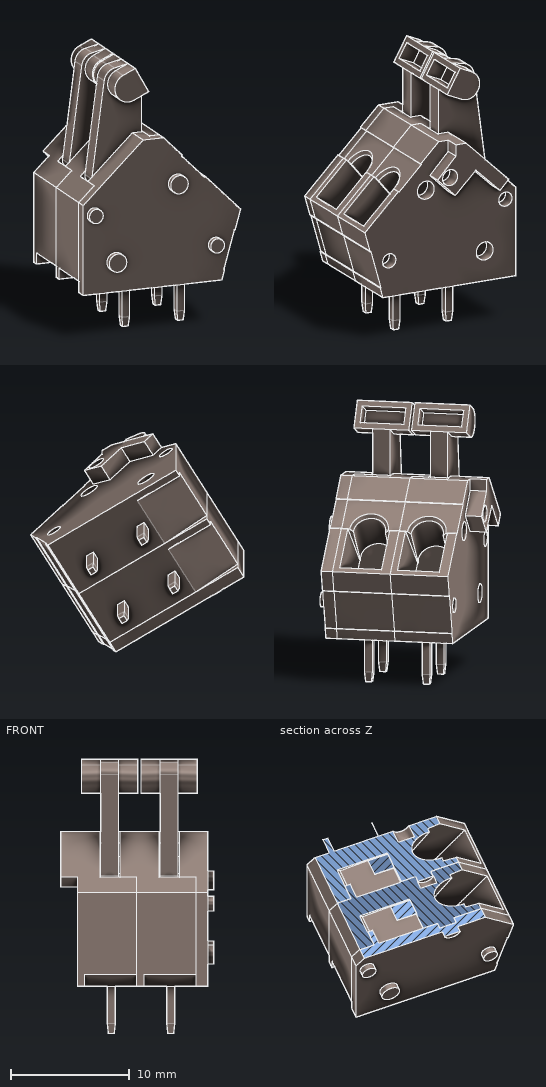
import cadquery as cq
import math


MODULE_COUNT = 2
MODULES_LENGTH = 10.0
PITCH = MODULES_LENGTH / MODULE_COUNT
END_PLATE_THICKNESS = 1.0
KEY_LENGTH = 1.4

FRONT_HEIGHT = 7.87
TOP_HEIGHT = 13.02
TOP_FRONT_Y = 5.45
BACK_Y = 14.3
BACK_CORNER_HEIGHT = 6.02
BASE_DEPTH = 12.6
BACK_SLOPE_ANGLE = 45.0
TOP_BACK_Y = BACK_Y - (TOP_HEIGHT - BACK_CORNER_HEIGHT) / math.tan(math.radians(BACK_SLOPE_ANGLE))

SLOPE_GROOVE_START = 4.48
SLOPE_GROOVE_END = 7.48
SLOPE_GROOVE_DEPTH = 0.1
BACK_GROOVE_START = 1.85
BACK_GROOVE_END = 5.33
BACK_GROOVE_DEPTH = 0.07

SLOT_START_X = 1.9
SLOT_BACK_Y = 6.42
SLOT_BACK_HEIGHT = 12.02
SLOT_HEEL = (8.15, 10.15)
SLOT_BOTTOM = (6.49, 8.55)
KEY_RIDGE = (4.52, 10.48)
SLOT_TOE = (2.25, 8.33)
SLOT_MOUTH_Y = 1.4
SLOT_MOUTH = (SLOT_MOUTH_Y, FRONT_HEIGHT + SLOT_MOUTH_Y * (TOP_HEIGHT - FRONT_HEIGHT) / TOP_FRONT_Y)

ENTRY_CENTER_X = 2.63
ENTRY_MOUTH_WIDTH = 3.62
ENTRY_MOUTH_START = 0.45
ENTRY_DEPTH = 4.05
ENTRY_TAPER = 6.0
WIRE_HOLE_RADIUS = 1.38
WIRE_HOLE_CHAMFER = 0.28

RELIEF_START_X = 0.6
RELIEF_HEIGHT = 1.0
RELIEF_DEPTH = 4.15

COUPLINGS = [
    (1.0, 6.95, 1.25),
    (2.95, 2.65, 1.6),
    (8.55, 8.9, 1.6),
    (12.0, 3.19, 1.25),
]
STUD_LENGTH = 0.5
MODULE_HOLE_DEPTH = 1.2

PIVOT_Y = 6.97
PIVOT_Z = 10.2
PIVOT_DIAMETER = 1.4
LEVER_CENTER_X = 2.72
LEVER_WIDTH = 1.5
LEVER_BACK_Y = 6.32
LEVER_TIP = (5.1, 19.09)
LEVER_SHOULDER = (3.05, 18.65)
LEVER_SHOULDER_RADIUS = 1.2
LEVER_TOE = (1.7, 8.6)
LEVER_TOE_RADIUS = 0.65
HEAD_WIDTH = 4.75
HEAD_BACK_HEIGHT = 16.92
HEAD_TILT = 24.0
HEAD_TOP_LENGTH = 1.22
HEAD_SLOT_WIDTH = 3.79
HEAD_SLOT_START = 0.5
HEAD_SLOT_END = 1.98
HEAD_SLOT_DEPTH = 1.5

PIN_WIDTH = 0.7
PIN_TIP_WIDTH = 0.5
PIN_LENGTH = 4.0
PIN_TIP_LENGTH = 0.85
PIN_CENTER_X = 2.86
PIN_FRONT_Y = 5.0
PIN_ROW_SPACING = PITCH
PIN_ROW_COUNT = 2


def prism(points, x_start, x_end):
    """Extrude a (Y, Z) polygon along X."""
    return cq.Workplane("YZ", origin=(x_start, 0, 0)).polyline(points).close().extrude(x_end - x_start)


def rod(y, z, diameter, x_start, x_end):
    """Cylinder along X."""
    return cq.Workplane("YZ", origin=(x_start, y, z)).circle(diameter / 2).extrude(x_end - x_start)


def slope_plane(offset):
    """Plane parallel to the back slope; local x is X, local y runs down the slope to the back corner."""
    slope = math.radians(BACK_SLOPE_ANGLE)
    plane = cq.Plane(
        origin=(0, BACK_Y, BACK_CORNER_HEIGHT),
        xDir=(1, 0, 0),
        normal=(0, math.sin(slope), math.cos(slope)),
    )
    return cq.Workplane(plane).workplane(offset=offset)


def groove_points(corner, far_end, start, end, depth):
    """Four (Y, Z) points of a square groove on the line from corner to far_end.

    A positive depth lies to the left of that line, a negative one to its right.
    """
    origin = cq.Vector(*corner)
    along = (cq.Vector(*far_end) - origin).normalized()
    inward = cq.Vector(-along.y, along.x) * depth
    near = origin + along * start
    far = origin + along * end
    return [(p.x, p.y) for p in (near, near + inward, far + inward, far)]


KEY_OUTLINE = [
    (SLOT_BACK_Y, TOP_HEIGHT),
    (SLOT_BACK_Y, SLOT_BACK_HEIGHT),
    SLOT_HEEL,
    SLOT_BOTTOM,
    KEY_RIDGE,
    SLOT_TOE,
    SLOT_MOUTH,
    (TOP_FRONT_Y, TOP_HEIGHT),
]
SLOT_OUTLINE = [point for point in KEY_OUTLINE if point != KEY_RIDGE]


def block(width, hole_depth):
    """Body shared by modules and end plate: grooved outline, key, studs and matching holes."""
    top_back = (TOP_BACK_Y, TOP_HEIGHT)
    back_corner = (BACK_Y, BACK_CORNER_HEIGHT)
    base_back = (BASE_DEPTH, 0)
    slope_groove = groove_points(
        back_corner, top_back, SLOPE_GROOVE_START, SLOPE_GROOVE_END, SLOPE_GROOVE_DEPTH
    )
    back_groove = groove_points(
        back_corner, base_back, BACK_GROOVE_START, BACK_GROOVE_END, -BACK_GROOVE_DEPTH
    )
    outline = [
        base_back,
        *reversed(back_groove),
        back_corner,
        *slope_groove,
        top_back,
        (TOP_FRONT_Y, TOP_HEIGHT),
        (0, FRONT_HEIGHT),
        (0, 0),
    ]
    body = prism(outline, 0, width).union(prism(KEY_OUTLINE, -KEY_LENGTH, 0))
    body = body.cut(rod(PIVOT_Y, PIVOT_Z, PIVOT_DIAMETER, -KEY_LENGTH, 0))
    for y, z, diameter in COUPLINGS:
        body = body.cut(rod(y, z, diameter, 0, hole_depth))
        body = body.union(rod(y, z, diameter, width, width + STUD_LENGTH))
    return body


def wire_entry():
    mouth_end = SLOPE_GROOVE_START + SLOPE_GROOVE_DEPTH * math.tan(math.radians(ENTRY_TAPER))
    mouth_length = mouth_end - ENTRY_MOUTH_START
    mouth = (
        slope_plane(0)
        .center(ENTRY_CENTER_X, -ENTRY_MOUTH_START - mouth_length / 2)
        .rect(ENTRY_MOUTH_WIDTH, mouth_length)
        .extrude(-ENTRY_DEPTH, taper=ENTRY_TAPER)
    )
    groove_floor = slope_plane(-SLOPE_GROOVE_DEPTH).center(ENTRY_CENTER_X, -SLOPE_GROOVE_START)
    hole = groove_floor.circle(WIRE_HOLE_RADIUS).extrude(SLOPE_GROOVE_DEPTH - ENTRY_DEPTH)
    chamfer = (
        groove_floor.circle(WIRE_HOLE_RADIUS + WIRE_HOLE_CHAMFER)
        .workplane(offset=-WIRE_HOLE_CHAMFER)
        .circle(WIRE_HOLE_RADIUS)
        .loft()
    )
    return mouth.union(hole).union(chamfer)


def housing_module():
    relief = prism([(0, 0), (0, RELIEF_HEIGHT), (RELIEF_DEPTH, 0)], RELIEF_START_X, PITCH)
    slot = prism(SLOT_OUTLINE, SLOT_START_X, PITCH)
    return block(PITCH, MODULE_HOLE_DEPTH).cut(relief).cut(slot).cut(wire_entry())


def end_plate():
    return block(END_PLATE_THICKNESS, STUD_LENGTH)


def lever_arm():
    outline = [
        LEVER_TIP,
        (LEVER_BACK_Y, HEAD_BACK_HEIGHT),
        (LEVER_BACK_Y, SLOT_BACK_HEIGHT),
        SLOT_HEEL,
        SLOT_BOTTOM,
        LEVER_TOE,
        LEVER_SHOULDER,
    ]
    x_start = LEVER_CENTER_X - LEVER_WIDTH / 2
    arm = prism(outline, x_start, x_start + LEVER_WIDTH)
    for corner, radius in ((LEVER_SHOULDER, LEVER_SHOULDER_RADIUS), (LEVER_TOE, LEVER_TOE_RADIUS)):
        corner_edge = cq.selectors.NearestToPointSelector((LEVER_CENTER_X, *corner))
        arm = arm.edges(corner_edge).fillet(radius)
    return arm


def lever_head():
    """Round-nosed grip across the arm, and the tool slot to cut into its back face."""
    tilt = math.radians(HEAD_TILT)
    along = cq.Vector(-math.cos(tilt), -math.sin(tilt))
    across = cq.Vector(math.sin(tilt), -math.cos(tilt))
    tip = cq.Vector(*LEVER_TIP)
    back_face = cq.Vector(LEVER_BACK_Y, HEAD_BACK_HEIGHT) - tip
    radius = back_face.dot(across) / 2
    top_end = tip + along * HEAD_TOP_LENGTH
    center = top_end + across * radius
    nose = center + along * radius
    bottom_end = center + across * radius
    head = (
        cq.Workplane("YZ", origin=(LEVER_CENTER_X, 0, 0))
        .moveTo(tip.x, tip.y)
        .lineTo(top_end.x, top_end.y)
        .threePointArc((nose.x, nose.y), (bottom_end.x, bottom_end.y))
        .lineTo(LEVER_BACK_Y, HEAD_BACK_HEIGHT)
        .close()
        .extrude(HEAD_WIDTH / 2, both=True)
    )
    down_face = back_face.normalized()
    upper = tip + down_face * HEAD_SLOT_START
    lower = tip + down_face * HEAD_SLOT_END
    depth = along * HEAD_SLOT_DEPTH
    corners = [upper, upper + depth, lower + depth, lower]
    x_start = LEVER_CENTER_X - HEAD_SLOT_WIDTH / 2
    tool_slot = prism([(p.x, p.y) for p in corners], x_start, x_start + HEAD_SLOT_WIDTH)
    return head, tool_slot


def lever():
    head, tool_slot = lever_head()
    pivot = rod(PIVOT_Y, PIVOT_Z, PIVOT_DIAMETER, SLOT_START_X, PITCH)
    return lever_arm().union(head).union(pivot).cut(tool_slot)


def solder_pin():
    shank_length = PIN_LENGTH - PIN_TIP_LENGTH
    shank = cq.Workplane("XY").rect(PIN_WIDTH, PIN_WIDTH).extrude(-shank_length)
    tip = (
        cq.Workplane("XY", origin=(0, 0, -shank_length))
        .rect(PIN_WIDTH, PIN_WIDTH)
        .workplane(offset=-PIN_TIP_LENGTH)
        .rect(PIN_TIP_WIDTH, PIN_TIP_WIDTH)
        .loft()
    )
    return shank.union(tip)


bodies = [end_plate().translate((MODULE_COUNT * PITCH, 0, 0)).solids().val()]
for index in range(MODULE_COUNT):
    module_x = index * PITCH
    bodies.append(housing_module().translate((module_x, 0, 0)).solids().val())
    bodies.append(lever().translate((module_x, 0, 0)).solids().val())
    for row in range(PIN_ROW_COUNT):
        pin_y = PIN_FRONT_Y + row * PIN_ROW_SPACING
        bodies.append(solder_pin().translate((module_x + PIN_CENTER_X, pin_y, 0)).solids().val())

result = cq.Compound.makeCompound(bodies)